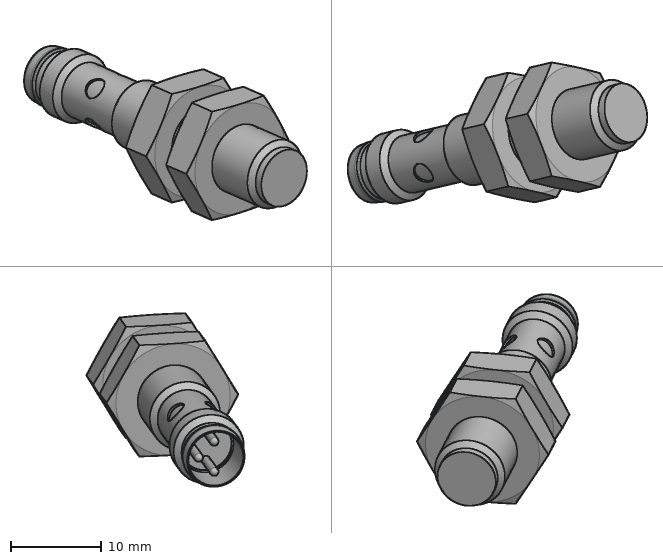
import cadquery as cq
import math

total_length = 40.95

neck_diameter = 6.5
collar_diameter = 6.9
barrel_diameter = 8.0
tip_diameter = 6.65
collar_front_diameter = 6.65
collar_back_diameter = 6.75
socket_diameter = 6.23
socket_floor_diameter = 5.8

lead_in_length = 0.15
collar_start = 1.25
collar_end = 1.65
collar_bevel_end = 1.8
collar_taper_end = 2.0
ring_start = 3.0
ring_end = 6.47
barrel_start = 15.4
shoulder_length = 0.6
tip_start = 40.0

socket_depth = 5.0
socket_floor_recess = 0.2
pin_diameter = 1.0
pin_circle_radius = 1.75
pin_tip_x = 0.35
pin_angles = (0, 90, 180)
socket_floor_x = socket_depth + socket_floor_recess

window_diameter = 2.5
window_x = 11.02
window_floor_radius = 3.0
window_angles = (45, 135, 225, 315)

nut_width = 13.0
nut_sides = 6
nut_count = 2
nut_thickness = 4.0
nut_gap = 2.9
first_nut_x = 22.33
nut_chamfer_angle = 15


def turned_body():
    """Solid of revolution with a stepped cylindrical socket in the connector end."""
    neck = neck_diameter / 2
    collar = collar_diameter / 2
    barrel = barrel_diameter / 2
    tip = tip_diameter / 2
    socket = socket_diameter / 2
    socket_floor = socket_floor_diameter / 2
    outline = [
        (socket_floor_x, 0),
        (socket_floor_x, socket_floor),
        (socket_depth, socket_floor),
        (socket_depth, socket),
        (0, socket),
        (0, neck),
        (lead_in_length, collar_front_diameter / 2),
        (collar_start, collar),
        (collar_end, collar),
        (collar_bevel_end, collar_back_diameter / 2),
        (collar_taper_end, neck),
        (ring_start, neck),
        (ring_start + shoulder_length, barrel),
        (ring_end - shoulder_length, barrel),
        (ring_end, neck),
        (barrel_start, neck),
        (barrel_start + shoulder_length, barrel),
        (tip_start - shoulder_length, barrel),
        (tip_start, tip),
        (total_length, tip),
        (total_length, 0),
    ]
    return cq.Workplane("XY").polyline(outline).close().revolve(360, (0, 0, 0), (1, 0, 0))


def contact_pin(angle):
    """Contact pin with a hemispherical tip, standing on the socket floor."""
    radius = pin_diameter / 2
    dome_centre_x = pin_tip_x + radius
    base = cq.Workplane("YZ", origin=(dome_centre_x, 0, pin_circle_radius))
    shank = base.circle(radius).extrude(socket_floor_x - dome_centre_x)
    dome = base.sphere(radius)
    return shank.union(dome).rotate((0, 0, 0), (1, 0, 0), -angle)


def window_cutter(angle):
    """Radial cutter whose inner end follows a cylinder coaxial with the sensor."""
    floor_core = (
        cq.Workplane("YZ", origin=(window_x - window_diameter, 0, 0))
        .circle(window_floor_radius)
        .extrude(2 * window_diameter)
    )
    return (
        cq.Workplane("XY", origin=(window_x, 0, 0))
        .circle(window_diameter / 2)
        .extrude(neck_diameter)
        .cut(floor_core)
        .rotate((0, 0, 0), (1, 0, 0), angle)
    )


def make_sensor():
    body = turned_body()
    for angle in window_angles:
        body = body.cut(window_cutter(angle))
    for angle in pin_angles:
        body = body.union(contact_pin(angle))
    return body


def make_nut(start_x):
    """Hexagonal nut with corners pointing along Y and both faces chamfered."""
    corner_diameter = nut_width / math.cos(math.pi / nut_sides)
    flat_radius = nut_width / 2
    corner_radius = corner_diameter / 2
    chamfer_length = (corner_radius - flat_radius) * math.tan(math.radians(nut_chamfer_angle))
    end_x = start_x + nut_thickness
    hexagon = (
        cq.Workplane("YZ", origin=(start_x, 0, 0))
        .polygon(nut_sides, corner_diameter)
        .circle(barrel_diameter / 2)
        .extrude(nut_thickness)
    )
    chamfered_envelope = (
        cq.Workplane("XY")
        .polyline([
            (start_x, 0),
            (start_x, flat_radius),
            (start_x + chamfer_length, corner_radius),
            (end_x - chamfer_length, corner_radius),
            (end_x, flat_radius),
            (end_x, 0),
        ])
        .close()
        .revolve(360, (0, 0, 0), (1, 0, 0))
    )
    return hexagon.intersect(chamfered_envelope)


sensor = make_sensor()
nuts = []
for index in range(nut_count):
    nut = make_nut(first_nut_x + index * (nut_thickness + nut_gap))
    nuts.append(nut.val())

result = cq.Compound.makeCompound([sensor.val(), *nuts])